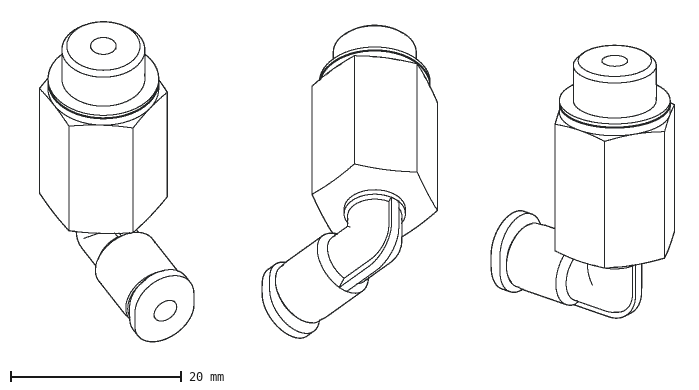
import cadquery as cq
import math


button_width = 7.8
button_height = 9.73
button_inner_x = 14.15
button_rim_x = 15.32
button_face_radius = 2.65

total_height = 33.9
top_z = total_height - button_height / 2
hex_across_flats = 13.0
hex_across_corners = hex_across_flats / math.cos(math.radians(30))
hex_bottom_z = 4.7
hex_top_z = 22.4
hex_top_chamfer_height = 0.3
hex_bottom_cone_height = 1.02

total_length = 23.22
end_x = total_length - hex_across_corners / 2

thread_diameter = 9.73
thread_chamfer = 0.58
ring_top_z = 23.95
ring_groove_z = 23.4
ring_groove_height = 0.1
ring_groove_depth = 0.07

elbow_radius = 3.2
collar_radius = 7.2 / 2
collar_bottom_z = 4.05
collar_chamfer_bottom_z = 3.63
rib_thickness = 1.15
bore_diameter = 3.0

holder_radius = 8.0 / 2
holder_cone_start_x = 4.75
holder_start_x = 5.63
holder_taper_x = 12.0
cap_start_x = 12.85
cap_end_x = 13.32
cap_radius = 3.9
cap_chamfer = 0.17
neck_radius = 5.0 / 2
neck_flare_x = 13.85
neck_flare_radius = 2.6


def revolve_stem(profile):
    """Revolve (radius, z) points about the vertical axis."""
    return cq.Workplane("XZ").polyline(profile).close().revolve(360, (0, 0, 0), (0, 1, 0))


def revolve_arm(profile):
    """Revolve (x, radius) points about the horizontal axis."""
    return cq.Workplane("XZ").polyline(profile).close().revolve(360, (0, 0, 0), (1, 0, 0))


def make_hexagon():
    """Hexagon with corners on X, its ends trimmed to cones."""
    prism = (
        cq.Workplane("XY", origin=(0, 0, hex_bottom_z))
        .polygon(6, hex_across_corners)
        .extrude(hex_top_z - hex_bottom_z)
    )
    corner_radius = hex_across_corners / 2
    cone_envelope = revolve_stem([
        (0, hex_bottom_z),
        (collar_radius, hex_bottom_z),
        (corner_radius, hex_bottom_z + hex_bottom_cone_height),
        (corner_radius, hex_top_z - hex_top_chamfer_height),
        (hex_across_flats / 2, hex_top_z),
        (0, hex_top_z),
    ])
    return prism.intersect(cone_envelope)


def make_threaded_end():
    """Chamfered spigot above two rings separated by a fine groove."""
    spigot_radius = thread_diameter / 2
    ring_radius = hex_across_flats / 2
    groove_radius = ring_radius - ring_groove_depth
    groove_top_z = ring_groove_z + ring_groove_height
    return revolve_stem([
        (0, hex_top_z),
        (ring_radius, hex_top_z),
        (ring_radius, ring_groove_z),
        (groove_radius, ring_groove_z),
        (groove_radius, groove_top_z),
        (ring_radius, groove_top_z),
        (ring_radius, ring_top_z),
        (spigot_radius, ring_top_z),
        (spigot_radius, top_z - thread_chamfer),
        (spigot_radius - thread_chamfer, top_z),
        (0, top_z),
    ])


def make_elbow(radius, stem_end_z, arm_end_x):
    """Vertical and horizontal cylinders joined by a sphere."""
    stem = cq.Workplane("XY").circle(radius).extrude(stem_end_z)
    arm = cq.Workplane("YZ").circle(radius).extrude(arm_end_x)
    return cq.Workplane("XY").sphere(radius).union(stem).union(arm)


def make_collar():
    """Chamfered collar below the hexagon."""
    return revolve_stem([
        (0, collar_chamfer_bottom_z),
        (elbow_radius, collar_chamfer_bottom_z),
        (collar_radius, collar_bottom_z),
        (collar_radius, hex_bottom_z),
        (0, hex_bottom_z),
    ])


def make_rib():
    """Thin central web around the elbow, rounded at the outer corner."""
    arc_center_x = holder_radius - collar_radius
    arc_middle = holder_radius * math.cos(math.radians(45))
    return (
        cq.Workplane("XZ")
        .moveTo(-collar_radius, collar_bottom_z)
        .lineTo(-collar_radius, 0)
        .threePointArc((arc_center_x - arc_middle, -arc_middle), (arc_center_x, -holder_radius))
        .lineTo(holder_start_x, -holder_radius)
        .lineTo(holder_start_x, holder_radius)
        .lineTo(0, holder_radius)
        .lineTo(0, collar_bottom_z)
        .close()
        .extrude(rib_thickness / 2, both=True)
    )


def make_tube_holder():
    """Holder with a conical shoulder, a tapered cap and a flared neck."""
    return revolve_arm([
        (holder_cone_start_x, 0),
        (holder_cone_start_x, elbow_radius),
        (holder_start_x, holder_radius),
        (holder_taper_x, holder_radius),
        (cap_start_x, cap_radius),
        (cap_end_x - cap_chamfer, cap_radius),
        (cap_end_x, cap_radius - cap_chamfer),
        (cap_end_x, neck_radius),
        (neck_flare_x, neck_radius),
        (button_inner_x, neck_flare_radius),
        (button_inner_x, 0),
    ])


def make_button():
    """Plate with rounded ends, trimmed by a shallow cone on its outer face."""
    plate = (
        cq.Workplane("YZ", origin=(button_inner_x, 0, 0))
        .slot2D(button_height, button_width, 90)
        .extrude(end_x - button_inner_x)
    )
    cone_envelope = revolve_arm([
        (button_inner_x, 0),
        (button_inner_x, button_height / 2),
        (button_rim_x, button_height / 2),
        (end_x, button_face_radius),
        (end_x, 0),
    ])
    return plate.intersect(cone_envelope)


body = (
    make_elbow(elbow_radius, hex_bottom_z, holder_start_x)
    .union(make_collar())
    .union(make_rib())
    .union(make_hexagon())
    .union(make_threaded_end())
    .union(make_tube_holder())
    .union(make_button())
)

result = body.cut(make_elbow(bore_diameter / 2, top_z, end_x))